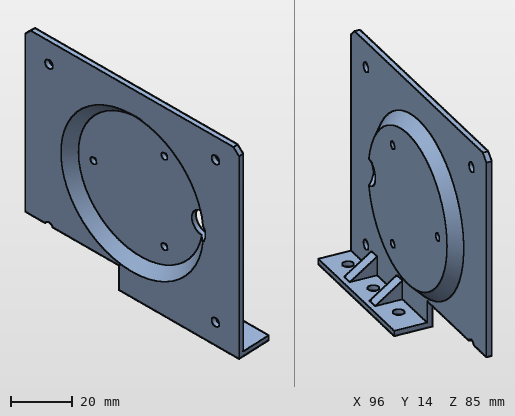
import cadquery as cq
import math

width = 96.0
height = 85.0
wall = 2.0
corner_chamfer = 2.5
notch_width = 42.0
notch_height = 10.0

dish_x = width / 2
dish_z = height / 2
dish_rim_radius = 32.0
dish_depth = 4.0
dish_floor_radius = dish_rim_radius - dish_depth

mount_hole_diameter = 3.5
mount_spacing_x = 74.8
mount_spacing_z = 66.0
dish_hole_diameter = 2.7
dish_hole_circle_radius = 21.2
dish_hole_count = 3
cable_hole_diameter = 10.0

flange_depth = 14.0
flange_hole_diameter = 3.8
flange_hole_y = 7.0
flange_hole_pitch = 18.0
middle_hole_x = 70.5
rib_thickness = 4.0
rib_top_z = 9.0
rib_tip_y = flange_depth - wall


def box(x_size, y_size, z_size, corner=(0, 0, 0)):
    return cq.Workplane("XY").box(x_size, y_size, z_size, centered=False).translate(corner)


def dish_cone(front_y):
    """Truncated cone narrowing towards +Y from front_y."""
    cone = cq.Solid.makeCone(
        dish_rim_radius,
        dish_floor_radius,
        dish_depth,
        pnt=cq.Vector(dish_x, front_y, dish_z),
        dir=cq.Vector(0, 1, 0),
    )
    return cq.Workplane(obj=cone)


def holes_along_y(diameter, centres):
    """Cutters through the plate and dish at the given (X, Z) centres."""
    cutters = cq.Workplane("XZ").pushPoints(centres).circle(diameter / 2)
    return cutters.extrude(-flange_depth)


def make_plate():
    plate = box(width, wall, height)
    plate = plate.edges("|Y and >Z").chamfer(corner_chamfer)
    return plate.cut(box(notch_width, wall, notch_height))


def make_flange():
    flange = box(width - notch_width, flange_depth, wall, (notch_width, 0, 0))
    hole_centres = [(middle_hole_x + i * flange_hole_pitch, flange_hole_y) for i in (-1, 0, 1)]
    holes = cq.Workplane("XY").pushPoints(hole_centres).circle(flange_hole_diameter / 2).extrude(wall)
    return flange.cut(holes)


def make_rib(middle_x):
    profile = [(wall, wall), (rib_tip_y, wall), (wall, rib_top_z)]
    rib = cq.Workplane("YZ").polyline(profile).close().extrude(rib_thickness)
    return rib.translate((middle_x - rib_thickness / 2, 0, 0))


result = make_plate().union(make_flange())
for side in (-1, 1):
    result = result.union(make_rib(middle_hole_x + side * flange_hole_pitch / 2))

result = result.union(dish_cone(wall)).cut(dish_cone(0))

mount_centres = [
    (dish_x + i * mount_spacing_x / 2, dish_z + k * mount_spacing_z / 2)
    for i in (-1, 1)
    for k in (-1, 1)
]
result = result.cut(holes_along_y(mount_hole_diameter, mount_centres))

dish_hole_angles = [math.pi + 2 * math.pi * i / dish_hole_count for i in range(dish_hole_count)]
dish_hole_centres = [
    (
        dish_x + dish_hole_circle_radius * math.cos(angle),
        dish_z + dish_hole_circle_radius * math.sin(angle),
    )
    for angle in dish_hole_angles
]
result = result.cut(holes_along_y(dish_hole_diameter, dish_hole_centres))

cable_hole_centre = (dish_x + dish_floor_radius, dish_z)
result = result.cut(holes_along_y(cable_hole_diameter, [cable_hole_centre]))